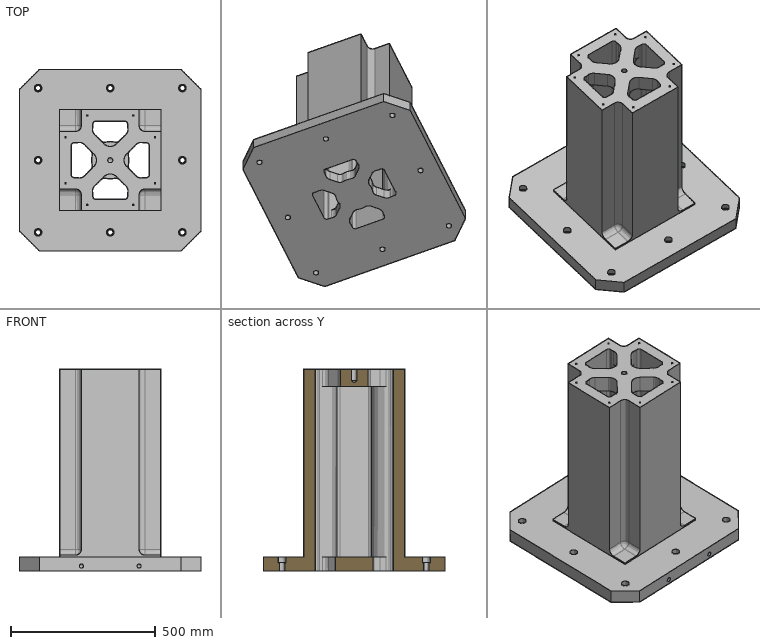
import cadquery as cq
import math

PLATE_SIZE = 630.0
PLATE_THICKNESS = 50.0
PLATE_CORNER_CHAMFER = 70.0

TOTAL_HEIGHT = 700.0
COLUMN_SIZE = 350.0
ARM_WIDTH = 200.0
PLINTH_HEIGHT = 6.0
GROOVE_FILLET = 20.0

WALL_THICKNESS = 40.0
TOP_PLATE_THICKNESS = 60.0
CAVITY_CORNER_RADIUS = 10.0
RIB_WIDTH = 50.0
SHOULDER_RADIUS = 25.0
WINDOW_INNER_RADIUS = 30.0
HUB_DIAMETER = 130.0
HUB_CORNER_RADIUS = 20.0

MOUNT_PITCH = 250.0
MOUNT_DIAMETER = 18.0
MOUNT_BORE_DIAMETER = 26.0
MOUNT_BORE_DEPTH = 20.0

DRILL_POINT_ANGLE = 118.0
CENTRE_HOLE_DIAMETER = 17.5
CENTRE_HOLE_DEPTH = 40.0
TOP_HOLE_DIAMETER = 5.0
TOP_HOLE_DEPTH = 15.0
TOP_HOLE_EDGE_INSET = 20.0
SIDE_HOLE_DIAMETER = 14.0
SIDE_HOLE_DEPTH = 35.0
SIDE_HOLE_OFFSET = 100.0
SIDE_HOLE_HEIGHT = 18.0

EDGE_TOLERANCE = 0.01

GROOVE_FLOOR_Z = PLATE_THICKNESS + PLINTH_HEIGHT
CAVITY_REACH = COLUMN_SIZE / 2 - WALL_THICKNESS
CAVITY_HALF_WIDTH = ARM_WIDTH / 2 - WALL_THICKNESS
CAVITY_BEND_RADIUS = GROOVE_FILLET + WALL_THICKNESS
CAVITY_TOP_Z = TOTAL_HEIGHT - TOP_PLATE_THICKNESS
QUARTER_TURNS = [90 * turn for turn in range(4)]
Z_AXIS = ((0, 0, 0), (0, 0, 1))


def make_base_plate():
    plate = cq.Workplane("XY").rect(PLATE_SIZE, PLATE_SIZE).extrude(PLATE_THICKNESS)
    return plate.edges("|Z").chamfer(PLATE_CORNER_CHAMFER)


def make_column():
    """Square column with a filleted groove down each corner, ending above the plate."""
    column = (
        cq.Workplane("XY")
        .workplane(offset=PLATE_THICKNESS)
        .rect(COLUMN_SIZE, COLUMN_SIZE)
        .extrude(TOTAL_HEIGHT - PLATE_THICKNESS)
    )
    cutter_size = COLUMN_SIZE / 2
    groove = (
        cq.Workplane("XY")
        .box(cutter_size, cutter_size, TOTAL_HEIGHT, centered=False)
        .translate((ARM_WIDTH / 2, ARM_WIDTH / 2, GROOVE_FLOOR_Z))
    )
    inner_corner = "(<X and <Y) or (<X and <Z) or (<Y and <Z)"
    groove = groove.edges(inner_corner).fillet(GROOVE_FILLET)
    for angle in QUARTER_TURNS:
        column = column.cut(groove.rotate(*Z_AXIS, angle))
    return column


def make_cavity(height):
    """Cross-shaped prism whose walls run parallel to the outside of the column."""
    length = 2 * CAVITY_REACH
    width = 2 * CAVITY_HALF_WIDTH
    along_x = cq.Workplane("XY").rect(length, width).extrude(height)
    along_y = cq.Workplane("XY").rect(width, length).extrude(height)
    along_x = along_x.edges("|Z").fillet(CAVITY_CORNER_RADIUS)
    along_y = along_y.edges("|Z").fillet(CAVITY_CORNER_RADIUS)
    cross = along_x.union(along_y)
    near = CAVITY_HALF_WIDTH + EDGE_TOLERANCE
    inner_corners = cq.selectors.BoxSelector((-near, -near, 0), (near, near, height))
    return cross.edges("|Z").edges(inner_corners).fillet(CAVITY_BEND_RADIUS)


def make_window(height):
    """The +X quarter of the cavity outline, bounded by two diagonal ribs."""
    apex_x = RIB_WIDTH / math.sqrt(2)
    reach = COLUMN_SIZE / 2
    wedge = (
        cq.Workplane("XY")
        .moveTo(apex_x, 0)
        .lineTo(reach, apex_x - reach)
        .lineTo(reach, reach - apex_x)
        .close()
        .extrude(height)
    )
    return make_cavity(height).intersect(wedge)


def fillet_near_x(window, x, radius):
    """Fillet the vertical edges of a window that stand close to the given x."""
    low = (x - EDGE_TOLERANCE, -COLUMN_SIZE, 0)
    high = (x + EDGE_TOLERANCE, COLUMN_SIZE, TOTAL_HEIGHT)
    near = cq.selectors.BoxSelector(low, high)
    return window.edges("|Z").edges(near).fillet(radius)


def shoulder_x():
    """X of the sharp corner where a rib face meets the curved cavity wall."""
    bend_centre = CAVITY_HALF_WIDTH + CAVITY_BEND_RADIUS
    half_chord = math.sqrt(CAVITY_BEND_RADIUS**2 - (RIB_WIDTH / 2) ** 2)
    return bend_centre + (RIB_WIDTH / 2 - half_chord) / math.sqrt(2)


def make_top_window():
    window = make_window(TOP_PLATE_THICKNESS)
    window = fillet_near_x(window, shoulder_x(), SHOULDER_RADIUS)
    window = window.edges("|Z and <X").fillet(WINDOW_INNER_RADIUS)
    return window.translate((0, 0, CAVITY_TOP_Z))


def make_base_window():
    """Window through the base plate, ending against the round hub in the middle."""
    hub = cq.Workplane("XY").circle(HUB_DIAMETER / 2).extrude(PLATE_THICKNESS)
    window = make_window(PLATE_THICKNESS).cut(hub)
    window = fillet_near_x(window, shoulder_x(), SHOULDER_RADIUS)
    return window.edges("|Z and <X").fillet(HUB_CORNER_RADIUS)


def drill(x, y, diameter, depth):
    """Drilled hole running down from z = 0: a cylinder with a conical point below its depth."""
    radius = diameter / 2
    point = radius / math.tan(math.radians(DRILL_POINT_ANGLE / 2))
    profile = [(0, 0), (radius, 0), (radius, -depth), (0, -depth - point)]
    hole = cq.Workplane("XZ").polyline(profile).close().revolve(360, (0, 0), (0, 1))
    return hole.translate((x, y, 0))


def cut_windows(body):
    cavity = make_cavity(CAVITY_TOP_Z - PLATE_THICKNESS)
    body = body.cut(cavity.translate((0, 0, PLATE_THICKNESS)))
    for window in (make_top_window(), make_base_window()):
        for angle in QUARTER_TURNS:
            body = body.cut(window.rotate(*Z_AXIS, angle))
    return body


def cut_mount_holes(body):
    """Counterbored through holes at the plate corners and the middle of each side."""
    steps = (-MOUNT_PITCH, 0, MOUNT_PITCH)
    places = [(x, y) for x in steps for y in steps if (x, y) != (0, 0)]
    through = cq.Workplane("XY").pushPoints(places).circle(MOUNT_DIAMETER / 2).extrude(PLATE_THICKNESS)
    bores = (
        cq.Workplane("XY")
        .workplane(offset=PLATE_THICKNESS)
        .pushPoints(places)
        .circle(MOUNT_BORE_DIAMETER / 2)
        .extrude(-MOUNT_BORE_DEPTH)
    )
    return body.cut(through).cut(bores)


def cut_top_holes(body):
    """Central hole, and a pair of small holes near the end of each arm."""
    centre = drill(0, 0, CENTRE_HOLE_DIAMETER, CENTRE_HOLE_DEPTH)
    body = body.cut(centre.translate((0, 0, TOTAL_HEIGHT)))
    reach = COLUMN_SIZE / 2 - TOP_HOLE_EDGE_INSET
    offset = ARM_WIDTH / 2 - TOP_HOLE_EDGE_INSET
    for side in (-1, 1):
        hole = drill(reach, side * offset, TOP_HOLE_DIAMETER, TOP_HOLE_DEPTH)
        hole = hole.translate((0, 0, TOTAL_HEIGHT))
        for angle in QUARTER_TURNS:
            body = body.cut(hole.rotate(*Z_AXIS, angle))
    return body


def cut_side_holes(body):
    """Two horizontal holes in the -Y edge of the base plate."""
    hole = drill(0, 0, SIDE_HOLE_DIAMETER, SIDE_HOLE_DEPTH).rotate((0, 0, 0), (1, 0, 0), 90)
    for side in (-1, 1):
        body = body.cut(hole.translate((side * SIDE_HOLE_OFFSET, -PLATE_SIZE / 2, SIDE_HOLE_HEIGHT)))
    return body


result = make_base_plate().union(make_column())
result = cut_windows(result)
result = cut_mount_holes(result)
result = cut_top_holes(result)
result = cut_side_holes(result)